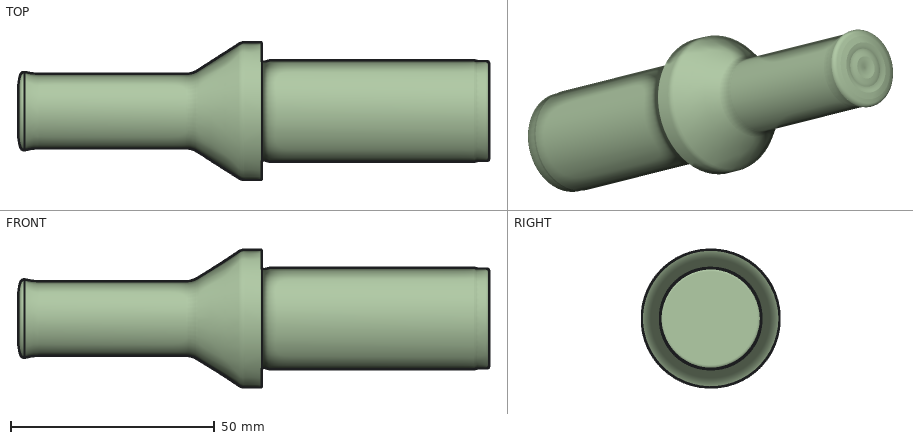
import cadquery as cq
import math

cutting_diameter = 19.4
neck_diameter = 18.5
flange_diameter = 34.0
undercut_diameter = 24.5
shank_diameter = 25.0
shank_end_diameter = 24.7

length = 116.0
tip_end = 1.6
relief_end = 5.1
neck_end = 41.4
flange_rim_start = 55.8
flange_back = 60.0
undercut_end = 60.9
shank_start = 62.0
shank_step_start = 112.3
shank_step_end = 113.0

dimple_radius = 2.8
valley_radius = 4.8
crest_radius = 6.3
outer_ring_radius = 7.9
dimple_depth = 0.5
valley_depth = 0.3
outer_ring_depth = 0.2
corner_radius = 1.2
corner_start_angle = math.radians(18)

cone_foot_blend = 5.1
cone_top_blend = 2.5
flange_back_round = 0.3
undercut_round = 0.2
shank_end_round = 0.8

cutting_radius = cutting_diameter / 2
neck_radius = neck_diameter / 2
flange_radius = flange_diameter / 2
undercut_radius = undercut_diameter / 2
shank_radius = shank_diameter / 2
shank_end_radius = shank_end_diameter / 2


def revolve_about_x(profile):
    """Revolve a closed profile, drawn as (x, radius), about the X axis."""
    return profile.close().revolve(360, (0, 0, 0), (1, 0, 0))


def relief_middle():
    """Midpoint of the concave relief arc, which runs out tangent to the neck."""
    run = relief_end - tip_end
    drop = cutting_radius - neck_radius
    arc_radius = (run**2 + drop**2) / (2 * drop)
    half_angle = math.asin(run / arc_radius) / 2
    x = relief_end - arc_radius * math.sin(half_angle)
    radius = neck_radius + arc_radius * (1 - math.cos(half_angle))
    return x, radius


def cone_angle():
    """Half angle of the cone tangent to both the foot blend and the top blend."""
    run = flange_rim_start - neck_end
    rise = flange_radius - neck_radius
    center_rise = rise - cone_foot_blend - cone_top_blend
    center_distance = math.hypot(run, center_rise)
    tangent_offset = math.acos((cone_foot_blend + cone_top_blend) / center_distance)
    return math.atan2(center_rise, run) + math.pi / 2 - tangent_offset


def foot_blend_point(angle):
    x = neck_end + cone_foot_blend * math.sin(angle)
    return x, neck_radius + cone_foot_blend * (1 - math.cos(angle))


def top_blend_point(angle):
    x = flange_rim_start - cone_top_blend * math.sin(angle)
    return x, flange_radius - cone_top_blend * (1 - math.cos(angle))


def corner_start():
    """Start of the corner rounding, whose centre lies on the back plane of the tip."""
    x = tip_end - corner_radius * math.cos(corner_start_angle)
    radius = cutting_radius - corner_radius * (1 - math.sin(corner_start_angle))
    return x, radius


def make_cutting_tip():
    """Disc with a ringed face and a rounded cutting corner."""
    profile = (
        cq.Workplane("XY")
        .moveTo(dimple_depth, 0)
        .lineTo(0, dimple_radius)
        .lineTo(valley_depth, valley_radius)
        .lineTo(0, crest_radius)
        .lineTo(outer_ring_depth, outer_ring_radius)
        .lineTo(*corner_start())
        .radiusArc((tip_end, cutting_radius), corner_radius)
        .lineTo(tip_end, 0)
    )
    return revolve_about_x(profile)


def make_holder():
    """Neck, conical flange and shank behind the cutting tip."""
    angle = cone_angle()
    profile = (
        cq.Workplane("XY")
        .moveTo(tip_end, 0)
        .lineTo(tip_end, cutting_radius)
        .threePointArc(relief_middle(), (relief_end, neck_radius))
        .lineTo(neck_end, neck_radius)
        .threePointArc(foot_blend_point(angle / 2), foot_blend_point(angle))
        .lineTo(*top_blend_point(angle))
        .threePointArc(top_blend_point(angle / 2), (flange_rim_start, flange_radius))
        .lineTo(flange_back - flange_back_round, flange_radius)
        .radiusArc((flange_back, flange_radius - flange_back_round), flange_back_round)
        .lineTo(flange_back, undercut_radius + undercut_round)
        .radiusArc((flange_back + undercut_round, undercut_radius), -undercut_round)
        .lineTo(undercut_end, undercut_radius)
        .lineTo(shank_start, shank_radius)
        .lineTo(shank_step_start, shank_radius)
        .lineTo(shank_step_end, shank_end_radius)
        .lineTo(length - shank_end_round, shank_end_radius)
        .radiusArc((length, shank_end_radius - shank_end_round), shank_end_round)
        .lineTo(length, 0)
    )
    return revolve_about_x(profile)


cutting_tip = make_cutting_tip()
holder = make_holder()

result = cq.Compound.makeCompound([cutting_tip.val(), holder.val()])